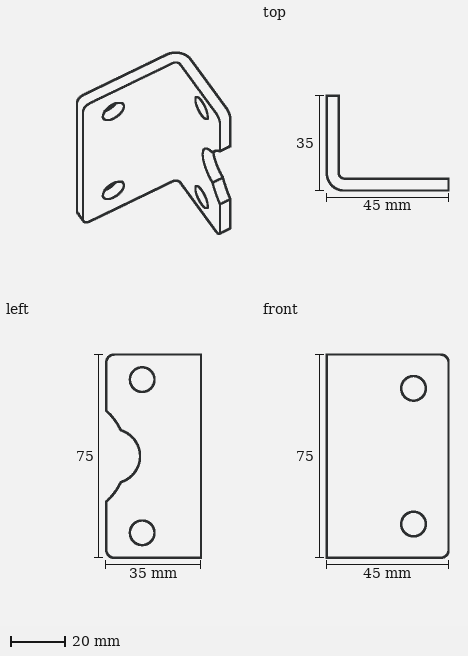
import cadquery as cq

height = 75.0
front_length = 45.0
side_length = 35.0
thickness = 4.5
inner_bend_radius = 2.0
outer_bend_radius = inner_bend_radius + thickness
corner_radius = 3.0

hole_diameter = 9.0
front_hole_x = 32.0
front_hole_spacing = 50.0
side_hole_y = 21.75
side_hole_spacing = 56.5

notch_depth = 12.45
notch_radius = 10.0
relief_radius = 22.5
relief_center_overhang = 15.0


def flange_plate(length):
    """Flat plate in local XY with rounded corners at its free end."""
    return (
        cq.Workplane("XY")
        .box(length, height, thickness, centered=(False, True, False))
        .edges("|Z and >X")
        .fillet(corner_radius)
    )


def flange_holes(position, spacing):
    """Cutters for a pair of holes placed symmetrically about mid-height."""
    return (
        cq.Workplane("XY")
        .pushPoints([(position, -spacing / 2), (position, spacing / 2)])
        .circle(hole_diameter / 2)
        .extrude(thickness)
    )


def edge_disc(center, radius):
    """Through-thickness disc cutter centred at mid-height."""
    return cq.Workplane("XY").center(center, 0).circle(radius).extrude(thickness)


def stand_up(flange):
    """Turn local Y into the vertical direction and local Z into +Y."""
    return flange.rotate((0, 0, 0), (1, 0, 0), 90).translate((0, thickness, 0))


front = flange_plate(front_length).cut(flange_holes(front_hole_x, front_hole_spacing))

side = (
    flange_plate(side_length)
    .cut(flange_holes(side_hole_y, side_hole_spacing))
    .cut(edge_disc(side_length - notch_depth + notch_radius, notch_radius))
    .cut(edge_disc(side_length + relief_center_overhang, relief_radius))
)

front = stand_up(front)
side = stand_up(side).rotate((0, 0, 0), (0, 0, 1), 90).translate((thickness, 0, 0))

bracket = front.union(side)
bracket = bracket.edges(cq.selectors.NearestToPointSelector((0, 0, 0))).fillet(outer_bend_radius)
result = bracket.edges(
    cq.selectors.NearestToPointSelector((thickness, thickness, 0))
).fillet(inner_bend_radius)